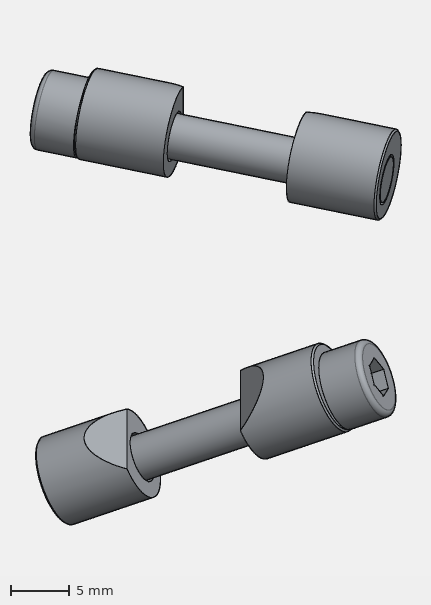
import cadquery as cq
import math

HEAD_DIAMETER = 7.0
HEAD_LENGTH = 4.0
HEAD_FILLET = 0.5
SHANK_DIAMETER = 4.0
SOCKET_ACROSS_FLATS = 3.0
SOCKET_DEPTH = 2.0
SOCKET_TIP_DIAMETER = 2.6
SOCKET_TIP_ANGLE = 120.0

BARREL_DIAMETER = 8.0
BARREL_LENGTH = 8.0
BARREL_GAP = 11.0
BARREL_CHAMFER = 0.16
SCREW_OFFSET_Y = -0.6
CLEARANCE_DIAMETER = 4.4

FLAT_FACE_Y = 2.15
FLAT_ANGLE = 30.0

SLEEVE_START = HEAD_LENGTH
SLEEVE_END = SLEEVE_START + BARREL_LENGTH
NUT_START = SLEEVE_END + BARREL_GAP
NUT_END = NUT_START + BARREL_LENGTH


def rod(diameter, start, length, y=0.0):
    """Plain cylinder along +X."""
    return (
        cq.Workplane("YZ", origin=(start, y, 0))
        .circle(diameter / 2)
        .extrude(length)
    )


def make_socket():
    """Hexagonal recess with two corners along Y and a conical drill tip at its bottom."""
    across_corners = SOCKET_ACROSS_FLATS / math.cos(math.radians(30))
    hexagon = (
        cq.Workplane("YZ", origin=(0, SCREW_OFFSET_Y, 0))
        .polygon(6, across_corners)
        .extrude(SOCKET_DEPTH)
    )
    tip_radius = SOCKET_TIP_DIAMETER / 2
    tip_depth = tip_radius / math.tan(math.radians(SOCKET_TIP_ANGLE / 2))
    tip = cq.Solid.makeCone(
        tip_radius, 0, tip_depth,
        pnt=cq.Vector(SOCKET_DEPTH, SCREW_OFFSET_Y, 0), dir=cq.Vector(1, 0, 0),
    )
    return hexagon.union(cq.Workplane(tip))


def make_screw():
    """Cap screw whose shank ends flush with the outer face of the nut."""
    head = rod(HEAD_DIAMETER, 0, HEAD_LENGTH, SCREW_OFFSET_Y)
    head = head.faces("<X").edges().fillet(HEAD_FILLET)
    shank = rod(SHANK_DIAMETER, HEAD_LENGTH, NUT_END - HEAD_LENGTH, SCREW_OFFSET_Y)
    return head.union(shank).cut(make_socket())


def make_barrel(outer_x, inner_x):
    """Barrel with a chamfered outer end, an inner sloped flat and a clearance hole."""
    start = min(outer_x, inner_x)
    outer_face = "<X" if outer_x < inner_x else ">X"
    barrel = rod(BARREL_DIAMETER, start, BARREL_LENGTH)
    barrel = barrel.faces(outer_face).edges().chamfer(BARREL_CHAMFER)

    radius = BARREL_DIAMETER / 2
    flat_length = (radius - FLAT_FACE_Y) / math.tan(math.radians(FLAT_ANGLE))
    toward_outer = math.copysign(1, outer_x - inner_x)
    wedge = (
        cq.Workplane("XY", origin=(0, 0, -radius))
        .polyline([
            (inner_x, FLAT_FACE_Y),
            (inner_x, radius),
            (inner_x + toward_outer * flat_length, radius),
        ])
        .close()
        .extrude(BARREL_DIAMETER)
    )
    hole = rod(CLEARANCE_DIAMETER, start, BARREL_LENGTH, SCREW_OFFSET_Y)
    return barrel.cut(wedge).cut(hole)


screw = make_screw()
sleeve = make_barrel(SLEEVE_START, SLEEVE_END)
nut = make_barrel(NUT_END, NUT_START)

result = cq.Compound.makeCompound([screw.val(), sleeve.val(), nut.val()])